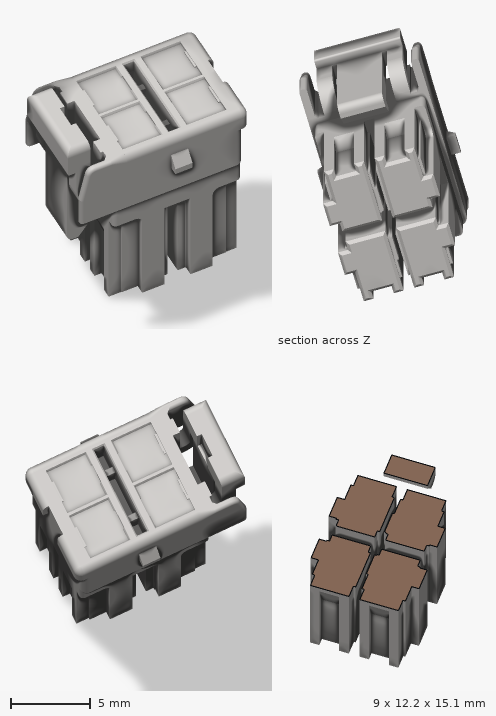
import cadquery as cq

HEAD_TOP = 15.1
SHELL_TOP = 14.0
HEAD_BOTTOM = 12.95
SLOT_TOP = 12.9
LIP_BOTTOM = 12.5
SHELL_BOTTOM = 9.24
NECK_BOTTOM = 7.42

SHELL_HALF_WIDTH = 3.9
BODY_HALF_WIDTH = 3.6
BODY_HALF_DEPTH = 4.5
LIP_BACK_Y = 4.9
SHELL_FILLET = 0.5
FILLET_CLEARANCE = 0.01
NECK_FILLET = 0.3
LIP_NOTCH_WIDTH = 2.06
SHOULDER_START_Y = -3.7
SHOULDER_END_Y = -4.76
SHELL_FRONT_Y = -4.82

WING_INNER_X = 3.39
WING_FRONT_Y = -6.94
WING_CREST_Y = -6.36
WING_KNEE_Z = 11.4
WING_CORNER_RADIUS = 0.6
WING_EDGE_FILLET = 0.2
WING_ROOT_CHAMFER = 0.17

CATCH_REACH_X = 4.5
CATCH_HALF_DEPTH = 0.6
CATCH_TOP = 12.6
CATCH_SHOULDER = 11.85
CATCH_BOTTOM = 11.4

POCKET_INNER_X = 0.09
POCKET_OUTER_X = 3.2
POCKET_INNER_Y = 0.86
POCKET_OUTER_Y = 3.65
POCKET_DEPTH = 0.15
POCKET_DRAFT = 0.1
POCKET_TAB_WIDTH = 1.42
POCKET_TAB_REACH = 0.14
POCKET_TAB_DROP = 0.06
POCKET_RELIEF_WIDTH = 1.3
SLOT_DEPTH_Y = 0.9
SLOT_DEPTH_Z = 1.0
SLOT_RIM_DEPTH = 0.1
SLOT_RIM_DRAFT = 0.09
WELL_DEPTH_Z = 1.0
WELL_TAPER_DEG = 5.0
CENTER_WELL_HALF = 1.45
SIDE_WELL_INNER_X = 1.86

ARM_INNER_X = 1.78
ARM_OUTER_X = 2.8
ARM_FRONT_Y = -6.69
ARM_BACK_Y = -5.7
ARM_ROOT_Y = -5.0
ARM_INNER_BEND = 0.48
ARM_ROOT_FILLET = 0.22
HEAD_FRONT_Y = -7.3
HEAD_FILLET = 0.5
HEAD_UNDER_FILLET = 0.14
HEAD_NOTCH_WIDTH = 1.56
HEAD_NOTCH_Y = -6.03
BEAM_HALF_WIDTH = 1.46
BEAM_BACK_Y = -5.75
BEAM_BOTTOM = 5.1
BEAM_TIP_FILLET = 0.5
HOOK_TIP_Y = -5.18
HOOK_TIP_TOP = 6.7
HOOK_ROOT_TOP = 6.58
HOOK_TIP_BOTTOM = 6.02
HOOK_TOE_Y = -5.88

TOWER_INNER_X = 0.345
TOWER_INNER_Y = 0.35
TOWER_CORNER_X = 2.94
TOWER_CHAMFER = 0.2
PAD_INNER_Y = 0.92
PAD_OUTER_Y = 2.48
PAD_TOP_FILLET = 0.5
CORE_OUTER_X = 3.11
CORE_INNER_X = 0.19
CORE_INNER_Y = 0.84
CORE_OUTER_Y = 3.66
CORE_BOTTOM = 0.37
KEY_INNER_X = 0.07
GROOVE_INNER_X = 0.99
GROOVE_OUTER_X = 2.31
GROOVE_DEPTH = 0.5
GROOVE_RAMP_TOP = 6.0
GROOVE_RAMP_BOTTOM = 4.48


def block(x0, x1, y0, y1, z0, z1):
    """Box spanning the given limits."""
    return cq.Workplane("XY").box(x1 - x0, y1 - y0, z1 - z0, centered=False).translate((x0, y0, z0))


def side_prism(points, x0, x1):
    """Closed (y, z) outline extruded from x0 to x1."""
    return cq.Workplane("YZ", origin=(x0, 0, 0)).polyline(points).close().extrude(x1 - x0)


def both_sides(shape):
    """The shape together with its mirror image across X = 0."""
    return shape.union(shape.mirror("YZ"))


def four_quadrants(shape):
    """The shape repeated in all four X/Y quadrants by mirroring."""
    pair = both_sides(shape)
    return pair.union(pair.mirror("XZ"))


def shoulder_section(y, radius):
    """Shell cross-section wire at a given y, with rounded upper corners."""
    section = (
        cq.Sketch()
        .push([(0, (SHELL_TOP + SHELL_BOTTOM) / 2)])
        .rect(2 * SHELL_HALF_WIDTH, SHELL_TOP - SHELL_BOTTOM)
        .reset()
        .vertices(">Y")
        .fillet(radius)
    )
    plane = cq.Plane(origin=(0, y, 0), xDir=(1, 0, 0), normal=(0, -1, 0))
    return section.moved(plane.location).val().Faces()[0].outerWire()


def make_shell():
    """Upper housing with a back lip and shoulders that sharpen toward the front."""
    w = SHELL_HALF_WIDTH
    lower = block(-w, w, SHOULDER_START_Y, BODY_HALF_DEPTH, SHELL_BOTTOM, SHELL_TOP - SHELL_FILLET)
    lower = lower.edges("|Z and >Y").fillet(SHELL_FILLET)
    upper = block(-w, w, SHOULDER_START_Y, LIP_BACK_Y, LIP_BOTTOM, SHELL_TOP)
    upper = upper.edges("|Z and >Y").fillet(SHELL_FILLET)
    upper = upper.faces(">Z").edges("not <Y").fillet(SHELL_FILLET - FILLET_CLEARANCE)
    shoulder = cq.Solid.makeLoft(
        [
            shoulder_section(SHOULDER_START_Y, SHELL_FILLET),
            shoulder_section(SHOULDER_END_Y, WING_EDGE_FILLET),
        ],
        True,
    )
    notch_half = LIP_NOTCH_WIDTH / 2
    notch = block(-notch_half, notch_half, BODY_HALF_DEPTH, LIP_BACK_Y, LIP_BOTTOM, SHELL_TOP)
    front = block(
        -WING_INNER_X, WING_INNER_X, SHELL_FRONT_Y, SHOULDER_END_Y, SHELL_BOTTOM, SHELL_TOP
    )
    return lower.union(upper).cut(notch).union(cq.Workplane(shoulder)).union(front)


def make_wing():
    """Side wing on +X with a sloped leading edge and rounded rims."""
    wing = side_prism(
        [
            (SHOULDER_END_Y, SHELL_BOTTOM),
            (SHOULDER_END_Y, SHELL_TOP),
            (WING_CREST_Y, SHELL_TOP),
            (WING_FRONT_Y, WING_KNEE_Z),
            (WING_FRONT_Y, SHELL_BOTTOM),
        ],
        WING_INNER_X,
        SHELL_HALF_WIDTH,
    )
    crest = cq.selectors.NearestToPointSelector((WING_INNER_X, WING_CREST_Y, SHELL_TOP))
    wing = wing.edges("|X").edges(crest).fillet(WING_CORNER_RADIUS)
    rims = wing.faces(">X or <X").edges("not (<Z or >Y)")
    wing = rims.fillet(WING_EDGE_FILLET)
    root_outer_x = WING_INNER_X + WING_EDGE_FILLET
    root = (
        cq.Workplane("XY", origin=(0, 0, SHELL_BOTTOM))
        .moveTo(WING_INNER_X - WING_ROOT_CHAMFER, SHELL_FRONT_Y)
        .lineTo(root_outer_x, SHELL_FRONT_Y - WING_ROOT_CHAMFER - WING_EDGE_FILLET)
        .lineTo(root_outer_x, SHOULDER_END_Y)
        .lineTo(WING_INNER_X - WING_ROOT_CHAMFER, SHOULDER_END_Y)
        .close()
        .extrude(SHELL_TOP - SHELL_BOTTOM)
    )
    return wing.union(root)


def make_catch():
    """Ramped locking catch on the +X side."""
    return (
        cq.Workplane("XZ", origin=(0, CATCH_HALF_DEPTH, 0))
        .moveTo(WING_INNER_X, CATCH_BOTTOM)
        .lineTo(CATCH_REACH_X, CATCH_BOTTOM)
        .lineTo(CATCH_REACH_X, CATCH_SHOULDER)
        .lineTo(SHELL_HALF_WIDTH, CATCH_TOP)
        .lineTo(WING_INNER_X, CATCH_TOP)
        .close()
        .extrude(2 * CATCH_HALF_DEPTH)
    )


def make_pocket():
    """Shallow pocket cutter in the +X +Y quadrant, drafted on three sides, with a tab left in it."""
    floor = SHELL_TOP - POCKET_DEPTH
    width = POCKET_OUTER_X - POCKET_INNER_X
    depth = POCKET_OUTER_Y - POCKET_INNER_Y
    mid_x = (POCKET_OUTER_X + POCKET_INNER_X) / 2
    mid_y = (POCKET_OUTER_Y + POCKET_INNER_Y) / 2
    pocket = (
        cq.Workplane("XY", origin=(mid_x, mid_y, SHELL_TOP))
        .rect(width, depth)
        .workplane(offset=-POCKET_DEPTH)
        .center(0, POCKET_DRAFT / 2)
        .rect(width - 2 * POCKET_DRAFT, depth - POCKET_DRAFT)
        .loft(ruled=True)
    )
    relief_half = POCKET_RELIEF_WIDTH / 2
    relief = block(mid_x - relief_half, mid_x + relief_half, POCKET_INNER_Y, mid_y, floor, SHELL_TOP)
    tab_half = POCKET_TAB_WIDTH / 2
    tab_top = SHELL_TOP - POCKET_TAB_DROP
    tab_inner_y = POCKET_OUTER_Y - POCKET_TAB_REACH
    tab = block(mid_x - tab_half, mid_x + tab_half, tab_inner_y, POCKET_OUTER_Y, floor, tab_top)
    return pocket.union(relief).cut(tab)


def make_center_slot():
    """Cross slot cutter with a flared rim and three tapered wells in its floor."""
    rim_width = 2 * POCKET_OUTER_X
    inner_half_width = POCKET_OUTER_X - SLOT_RIM_DRAFT
    inner_depth = SLOT_DEPTH_Y - 2 * SLOT_RIM_DRAFT
    floor = SHELL_TOP - SLOT_DEPTH_Z
    slot = (
        cq.Workplane("XY", origin=(0, 0, SHELL_TOP))
        .rect(rim_width, SLOT_DEPTH_Y)
        .workplane(offset=-SLOT_RIM_DEPTH)
        .rect(2 * inner_half_width, inner_depth)
        .loft(ruled=True)
        .faces("<Z")
        .wires()
        .toPending()
        .workplane()
        .extrude(SLOT_DEPTH_Z - SLOT_RIM_DEPTH)
    )
    side_mid = (SIDE_WELL_INNER_X + inner_half_width) / 2
    side_width = inner_half_width - SIDE_WELL_INNER_X
    wells = [(-side_mid, side_width), (0, 2 * CENTER_WELL_HALF), (side_mid, side_width)]
    for mid_x, width in wells:
        well = (
            cq.Workplane("XY", origin=(mid_x, 0, floor))
            .rect(width, inner_depth)
            .extrude(-WELL_DEPTH_Z, taper=WELL_TAPER_DEG)
        )
        slot = slot.union(well)
    return slot


def make_arm():
    """Spring arm on +X: a U-bend from the housing front up to the latch head."""
    bend_radius = ARM_ROOT_Y - ARM_FRONT_Y
    bend_z = SHELL_BOTTOM + bend_radius
    diagonal = 0.5 ** 0.5
    inner_y = ARM_BACK_Y + ARM_INNER_BEND
    trough_z = bend_z - ARM_INNER_BEND
    root_z = trough_z + ARM_ROOT_FILLET
    return (
        cq.Workplane("YZ", origin=(ARM_INNER_X, 0, 0))
        .moveTo(-BODY_HALF_DEPTH, SHELL_BOTTOM)
        .lineTo(ARM_ROOT_Y, SHELL_BOTTOM)
        .threePointArc(
            (ARM_ROOT_Y - bend_radius * diagonal, bend_z - bend_radius * diagonal),
            (ARM_FRONT_Y, bend_z),
        )
        .lineTo(ARM_FRONT_Y, HEAD_BOTTOM)
        .lineTo(ARM_BACK_Y, HEAD_BOTTOM)
        .lineTo(ARM_BACK_Y, bend_z)
        .threePointArc(
            (inner_y - ARM_INNER_BEND * diagonal, bend_z - ARM_INNER_BEND * diagonal),
            (inner_y, trough_z),
        )
        .threePointArc(
            (ARM_ROOT_Y - ARM_ROOT_FILLET * (1 - diagonal), root_z - ARM_ROOT_FILLET * diagonal),
            (ARM_ROOT_Y, root_z),
        )
        .lineTo(ARM_ROOT_Y, SHELL_TOP)
        .lineTo(-BODY_HALF_DEPTH, SHELL_TOP)
        .close()
        .extrude(ARM_OUTER_X - ARM_INNER_X)
    )


def make_head():
    """Finger pad on top of the latch."""
    head = block(-ARM_OUTER_X, ARM_OUTER_X, HEAD_FRONT_Y, ARM_BACK_Y, HEAD_BOTTOM, HEAD_TOP)
    head = head.faces(">Z").edges("not >Y").fillet(HEAD_FILLET)
    head = head.faces("<Z").edges("<Y").fillet(HEAD_UNDER_FILLET)
    half = HEAD_NOTCH_WIDTH / 2
    return head.cut(block(-half, half, HEAD_NOTCH_Y, ARM_BACK_Y, HEAD_BOTTOM, HEAD_TOP))


def make_beam():
    """Central latch beam ending in a hook that faces the towers."""
    beam = side_prism(
        [
            (ARM_FRONT_Y, HEAD_BOTTOM),
            (BEAM_BACK_Y, HEAD_BOTTOM),
            (BEAM_BACK_Y, HOOK_ROOT_TOP),
            (HOOK_TIP_Y, HOOK_TIP_TOP),
            (HOOK_TIP_Y, HOOK_TIP_BOTTOM),
            (HOOK_TOE_Y, BEAM_BOTTOM),
            (ARM_FRONT_Y, BEAM_BOTTOM),
        ],
        -BEAM_HALF_WIDTH,
        BEAM_HALF_WIDTH,
    )
    return beam.edges("|X and <Y and <Z").fillet(BEAM_TIP_FILLET)


def make_slot_bridge():
    """Web just under the head that closes the round-ended gaps between beam and arms."""
    gap = ARM_INNER_X - BEAM_HALF_WIDTH
    web_bottom = SLOT_TOP - gap / 2
    web = block(BEAM_HALF_WIDTH, ARM_INNER_X, ARM_FRONT_Y, BEAM_BACK_Y, web_bottom, HEAD_BOTTOM)
    round_end = (
        cq.Workplane("XZ", origin=(BEAM_HALF_WIDTH + gap / 2, BEAM_BACK_Y, web_bottom))
        .circle(gap / 2)
        .extrude(BEAM_BACK_Y - ARM_FRONT_Y)
    )
    return web.cut(round_end)


def make_tower():
    """Terminal tower in the +X +Y quadrant."""
    height = NECK_BOTTOM
    post = block(TOWER_INNER_X, TOWER_CORNER_X, TOWER_INNER_Y, BODY_HALF_DEPTH, 0, height)
    pad = block(TOWER_CORNER_X, BODY_HALF_WIDTH, PAD_INNER_Y, PAD_OUTER_Y, 0, height)
    tower = post.union(pad)

    groove_floor_y = BODY_HALF_DEPTH - GROOVE_DEPTH
    groove = side_prism(
        [
            (groove_floor_y, 0),
            (groove_floor_y, GROOVE_RAMP_BOTTOM),
            (BODY_HALF_DEPTH, GROOVE_RAMP_TOP),
            (BODY_HALF_DEPTH, 0),
        ],
        GROOVE_INNER_X,
        GROOVE_OUTER_X,
    )
    tower = tower.cut(groove).faces("<Z").chamfer(TOWER_CHAMFER)

    core = block(CORE_INNER_X, CORE_OUTER_X, CORE_INNER_Y, CORE_OUTER_Y, CORE_BOTTOM, height)

    flare_y = PAD_OUTER_Y + PAD_TOP_FILLET
    flare_z = height - PAD_TOP_FILLET
    flare = block(TOWER_CORNER_X, BODY_HALF_WIDTH, PAD_OUTER_Y, flare_y, flare_z, height)
    flare_round = (
        cq.Workplane("YZ", origin=(TOWER_CORNER_X, flare_y, flare_z))
        .circle(PAD_TOP_FILLET)
        .extrude(BODY_HALF_WIDTH - TOWER_CORNER_X)
    )
    return tower.union(flare.cut(flare_round)).union(core)


def make_keys():
    """Thin key strips on the inner faces of the two -X towers."""
    key = block(-CORE_INNER_X, -KEY_INNER_X, PAD_INNER_Y, PAD_OUTER_Y, CORE_BOTTOM, NECK_BOTTOM)
    return key.union(key.mirror("XZ"))


def make_neck():
    """Rounded block joining the shell to the towers."""
    w = BODY_HALF_WIDTH
    d = BODY_HALF_DEPTH
    return block(-w, w, -d, d, NECK_BOTTOM, SHELL_BOTTOM).edges("|Z").fillet(NECK_FILLET)


housing = make_shell().union(both_sides(make_wing()))
housing = housing.cut(
    block(-ARM_INNER_X, ARM_INNER_X, SHELL_FRONT_Y, -BODY_HALF_DEPTH, SHELL_BOTTOM, SHELL_TOP)
)
housing = housing.cut(four_quadrants(make_pocket())).cut(make_center_slot())
housing = housing.union(both_sides(make_catch())).union(make_neck())

latch = make_head().union(make_beam()).union(both_sides(make_slot_bridge()))
latch = latch.union(both_sides(make_arm()))

towers = four_quadrants(make_tower()).union(make_keys())

result = housing.union(towers).union(latch)